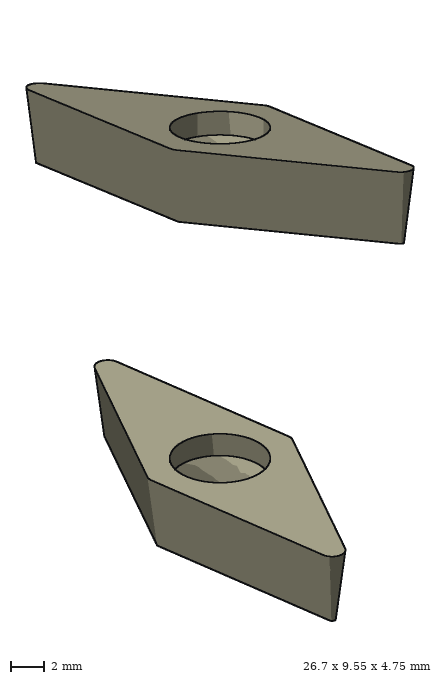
import cadquery as cq
import math

length = 26.73
width = 9.55
thickness = 4.75
point_angle = 35.0
clearance_angle = 7.0

seat_diameter = 6.05
hole_diameter = 4.4
seat_depth = 1.5
shoulder_radius = 3.2

half_width = width / 2
half_point = math.radians(point_angle / 2)

sharp_tip_x = half_width / math.tan(half_point)
corner_radius = (sharp_tip_x - length / 2) / (1 / math.tan(half_point) - 1)
blunt_x = half_width * math.tan(half_point)


def make_body():
    """Rounded rhombus, largest on the top face and tapering downwards."""
    corners = [
        (sharp_tip_x, half_width),
        (-blunt_x, half_width),
        (-sharp_tip_x, -half_width),
        (blunt_x, -half_width),
    ]
    outline = cq.Sketch().polygon(corners + corners[:1]).vertices().fillet(corner_radius)
    return (
        cq.Workplane("XY", origin=(0, 0, thickness))
        .placeSketch(outline)
        .extrude(-thickness, taper=clearance_angle)
    )


def make_screw_hole():
    """Through hole with a straight seat on top and a rounded shoulder below it."""
    seat_radius = seat_diameter / 2
    hole_radius = hole_diameter / 2
    shoulder_z = thickness - seat_depth
    arc_centre_x = hole_radius + shoulder_radius
    arc_angle = math.acos((arc_centre_x - seat_radius) / shoulder_radius)
    throat_z = shoulder_z - shoulder_radius * math.sin(arc_angle)
    arc_middle = (
        arc_centre_x - shoulder_radius * math.cos(arc_angle / 2),
        throat_z + shoulder_radius * math.sin(arc_angle / 2),
    )
    return (
        cq.Workplane("XZ")
        .moveTo(0, 0)
        .lineTo(hole_radius, 0)
        .lineTo(hole_radius, throat_z)
        .threePointArc(arc_middle, (seat_radius, shoulder_z))
        .lineTo(seat_radius, thickness)
        .lineTo(0, thickness)
        .close()
        .revolve(360, (0, 0, 0), (0, 1, 0))
    )


result = make_body().cut(make_screw_hole())